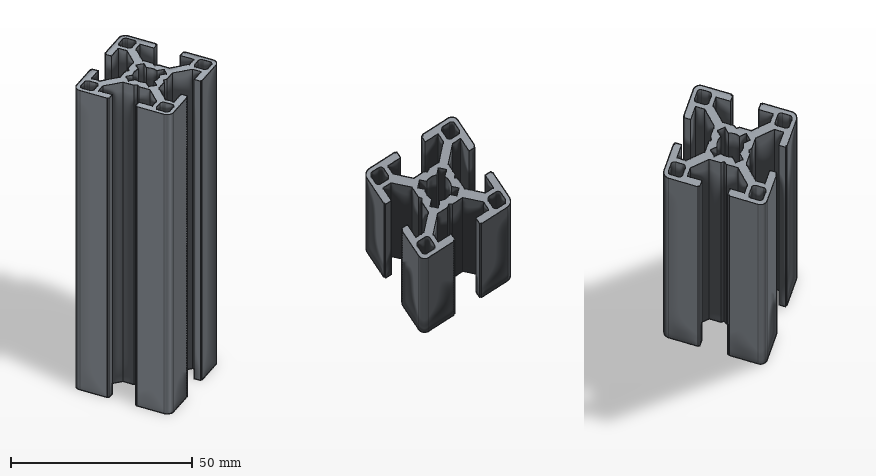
import cadquery as cq
import math

length = 100.0
side = 30.0
corner_radius = 2.0

slot_opening = 8.1
mouth_step_width = 0.5
mouth_step_depth = 0.25
lip_thickness = 2.2
slot_inner_width = 16.6
core_width = 12.0
rib_thickness = 2.6
groove_width = 1.6
groove_depth = 0.6

bore_diameter = 7.3
relief_width = 2.3
relief_span = 11.1

channel_width = 4.1
channel_center = 11.7
channel_radius = 1.0

half_side = side / 2
slot_half = slot_inner_width / 2


def t_slot():
    """Slot cutter for the +Y side, with a V groove in the slot floor."""
    opening_half = slot_opening / 2
    mouth_half = opening_half + mouth_step_width
    ceiling = half_side - lip_thickness
    floor = core_width / 2
    rib_offset = rib_thickness / math.sqrt(2)
    right_half = [
        (groove_width / 2, floor),
        (floor - rib_offset, floor),
        (slot_half, slot_half + rib_offset),
        (slot_half, ceiling),
        (opening_half, ceiling),
        (opening_half, half_side - mouth_step_depth),
        (mouth_half, half_side - mouth_step_depth),
        (mouth_half, half_side),
    ]
    left_half = [(-x, y) for x, y in reversed(right_half)]
    groove_bottom = (0, floor - groove_depth)
    return cq.Workplane("XY").polyline([groove_bottom] + right_half + left_half).close().extrude(length)


def center_bore():
    """Round bore crossed by two flat-ended diagonal reliefs."""
    bore = cq.Workplane("XY").circle(bore_diameter / 2).extrude(length)
    for angle in (45, 135):
        relief = cq.Workplane("XY").rect(relief_span, relief_width).extrude(length)
        bore = bore.union(relief.rotate((0, 0, 0), (0, 0, 1), angle))
    return bore


def corner_channels():
    """Rounded square channels through the four corners."""
    return (
        cq.Workplane("XY")
        .rect(2 * channel_center, 2 * channel_center, forConstruction=True)
        .vertices()
        .rect(channel_width, channel_width)
        .extrude(length)
        .edges("|Z")
        .fillet(channel_radius)
    )


result = cq.Workplane("XY").rect(side, side).extrude(length).edges("|Z").fillet(corner_radius)
for angle in (0, 90, 180, 270):
    result = result.cut(t_slot().rotate((0, 0, 0), (0, 0, 1), angle))
result = result.cut(center_bore()).cut(corner_channels())